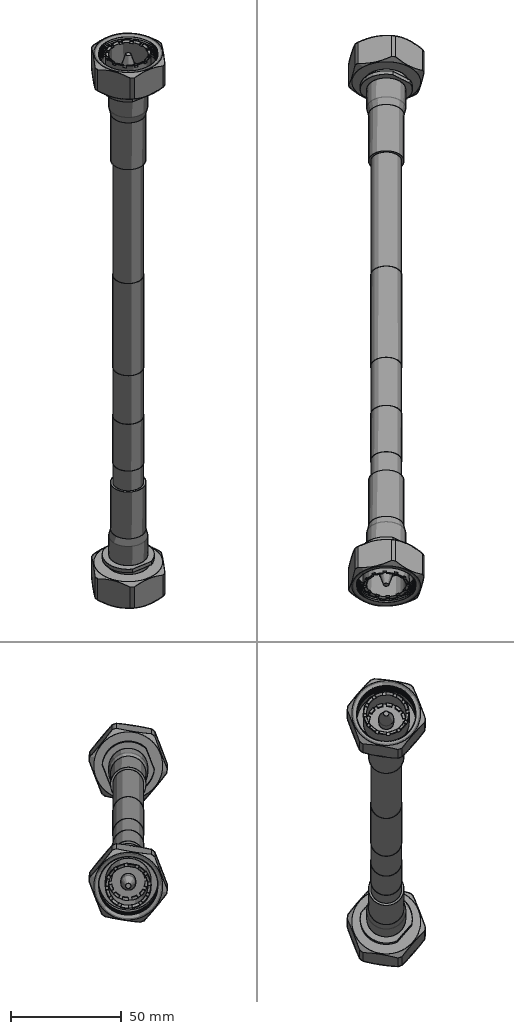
import cadquery as cq

overall_length = 295.47
end_z = overall_length / 2

nut_across_flats = 31.75
nut_corner_diameter = 35.58
nut_length = 14.7
nut_chamfer_radius = 15.55
nut_chamfer_height = 1.5
socket_depth = 12.5
thread_minor_radius = 13.4
thread_major_radius = 14.0
thread_pitch = 1.0
thread_turns = 7
mouth_radius = 15.0
mouth_depth = 0.5

neck_radius = 9.9
neck_length = 2.3
flange_radius = 11.8
flange_across_flats = 21.2
flange_thickness = 1.9
body_radius = 8.85
body_end_z = 114.7
body_taper_height = 3.6

ring_outer_radius = 10.4
ring_bore_radius = 8.9
ring_mouth_radius = 10.1
ring_mouth_depth = 0.5
step_inner_radius = 7.6
step_height = 1.0
slot_count = 12
slot_width = 1.6
tip_slot_depth = 1.0

pin_radius = 3.4
pin_tip_radius = 1.2
pin_taper_height = 7.0
pin_recess = 0.7

cable_radius = 7.0
sleeve_radius = 8.015
sleeve_length = 25.8
label_radius = 7.06
long_label_length = 50.8
long_label_center_z = 0.0
short_label_length = 25.8
short_label_center_z = -65.1

nut_rear_z = end_z - nut_length
socket_floor_z = end_z - socket_depth
step_top_z = socket_floor_z + step_height
flange_top_z = nut_rear_z - neck_length
flange_bottom_z = flange_top_z - flange_thickness


def cylinder(radius, z_bottom, z_top):
    return cq.Workplane("XY").workplane(offset=z_bottom).circle(radius).extrude(z_top - z_bottom)


def cable_wrap(radius, z_center, length):
    """Tube that fits over the cable."""
    z_bottom = z_center - length / 2
    z_top = z_center + length / 2
    return cylinder(radius, z_bottom, z_top).cut(cylinder(cable_radius, z_bottom, z_top))


def revolved(profile):
    """Solid of revolution about Z from (radius, z) points."""
    return cq.Workplane("XZ").polyline(profile).close().revolve(360, (0, 0), (0, 1))


def nut_socket():
    """Threaded recess of the nut: V-shaped rings below a flared mouth."""
    profile = [(0, socket_floor_z), (thread_minor_radius, socket_floor_z)]
    thread_top_z = end_z - mouth_depth
    thread_bottom_z = thread_top_z - thread_turns * thread_pitch
    for turn in range(thread_turns):
        root_z = thread_bottom_z + turn * thread_pitch
        profile.append((thread_minor_radius, root_z))
        profile.append((thread_major_radius, root_z + thread_pitch / 2))
    profile += [(thread_minor_radius, thread_top_z), (mouth_radius, end_z), (0, end_z)]
    return revolved(profile)


def nut():
    hexagon = (
        cq.Workplane("XY")
        .workplane(offset=nut_rear_z)
        .polygon(6, nut_across_flats, circumscribed=True)
        .extrude(nut_length)
    )
    corner_radius = nut_corner_diameter / 2
    turned_corners = revolved([
        (0, nut_rear_z),
        (nut_chamfer_radius, nut_rear_z),
        (corner_radius, nut_rear_z + nut_chamfer_height),
        (corner_radius, end_z - nut_chamfer_height),
        (nut_chamfer_radius, end_z),
        (0, end_z),
    ])
    return hexagon.intersect(turned_corners).cut(nut_socket())


def body():
    barrel = revolved([
        (0, body_end_z),
        (sleeve_radius, body_end_z),
        (body_radius, body_end_z + body_taper_height),
        (body_radius, flange_bottom_z),
        (0, flange_bottom_z),
    ])
    flats = (
        cq.Workplane("XY")
        .workplane(offset=flange_bottom_z)
        .rect(flange_across_flats, 2 * flange_radius)
        .extrude(flange_thickness)
    )
    flange = cylinder(flange_radius, flange_bottom_z, flange_top_z).intersect(flats)
    neck = cylinder(neck_radius, flange_top_z, nut_rear_z)
    return barrel.union(flange).union(neck)


def radial_slots(z_bottom, z_top):
    """Ring of radial slots, one every 30 degrees starting at 15 degrees."""
    spacing = 360 / slot_count
    single = (
        cq.Workplane("XY")
        .workplane(offset=z_bottom)
        .center(ring_outer_radius, 0)
        .rect(2 * ring_outer_radius, slot_width)
        .extrude(z_top - z_bottom)
    )
    slots = cq.Workplane("XY")
    for i in range(slot_count):
        slots = slots.add(single.rotate((0, 0, 0), (0, 0, 1), (i + 0.5) * spacing))
    return slots.combine()


def outer_contact():
    ring = revolved([
        (ring_bore_radius, socket_floor_z),
        (ring_outer_radius, socket_floor_z),
        (ring_outer_radius, end_z),
        (ring_mouth_radius, end_z),
        (ring_bore_radius, end_z - ring_mouth_depth),
    ])
    ring = ring.cut(radial_slots(end_z - tip_slot_depth, end_z))
    step = cylinder(ring_bore_radius, socket_floor_z, step_top_z)
    step = step.cut(cylinder(step_inner_radius, socket_floor_z, step_top_z))
    step = step.cut(radial_slots(socket_floor_z, step_top_z))
    return ring.union(step)


def center_pin():
    tip_z = end_z - pin_recess
    return revolved([
        (0, socket_floor_z),
        (pin_radius, socket_floor_z),
        (pin_radius, tip_z - pin_taper_height),
        (pin_tip_radius, tip_z),
        (0, tip_z),
    ])


def connector():
    """Upper connector: nut, body, contact ring and pin as one solid."""
    return nut().union(body()).union(outer_contact()).union(center_pin())


upper_connector = connector()
connectors = [upper_connector, upper_connector.mirror("XY")]

cable = cylinder(cable_radius, -body_end_z, body_end_z)

sleeve_center_z = body_end_z - sleeve_length / 2
sleeves = [cable_wrap(sleeve_radius, side * sleeve_center_z, sleeve_length) for side in (1, -1)]

long_label = cable_wrap(label_radius, long_label_center_z, long_label_length)
short_label = cable_wrap(label_radius, short_label_center_z, short_label_length)

bodies = [cable, *connectors, *sleeves, long_label, short_label]
result = cq.Compound.makeCompound([part.val() for part in bodies])